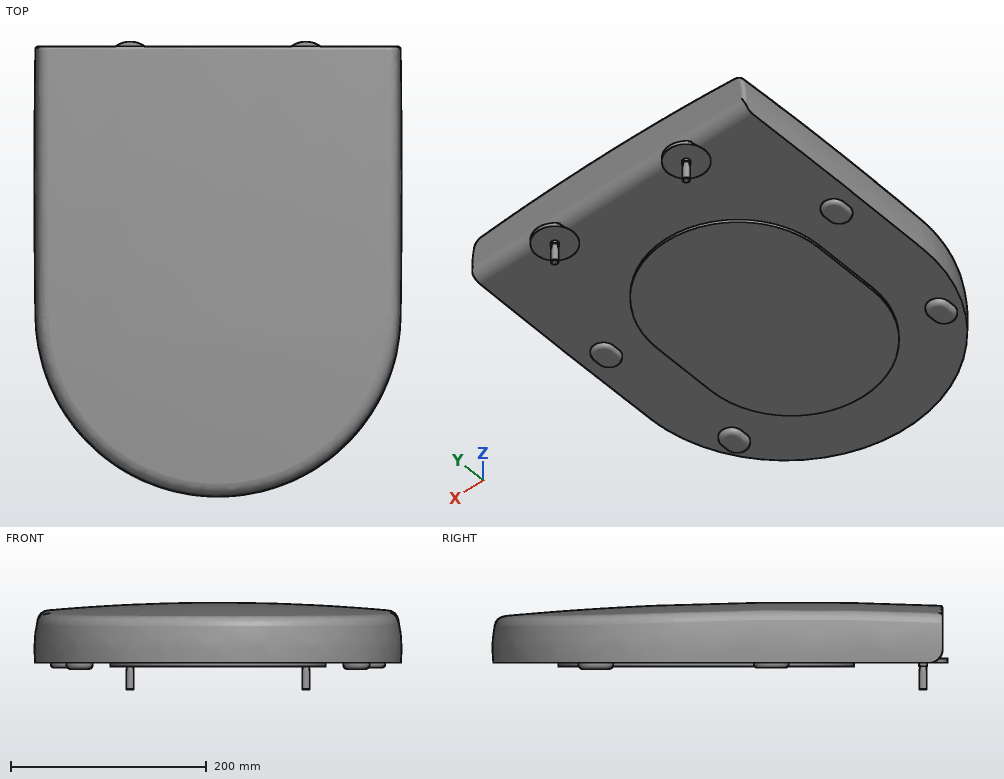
import cadquery as cq
import math


LENGTH = 465.0

HALF_WIDTH = 186.0
SIDE_BULGE = 1.0
FRONT_REACH = 184.0
BACK_Y = 275.5
MIDDLE_Y = 128.5

WALL_RADIUS = 139.5
WIDEST_Z = 14.0
WALL_LEVELS = (0.0, WIDEST_Z, 32.5, 65.0)

TOP_Z = 62.0
CROWN_RADIUS_X = 1929.8
CROWN_RADIUS_Y = 3273.5
CUTTER_HALF_WIDTH = 232.5
CUTTER_HEIGHT = 46.5
CUTTER_ANGLE = 16.0

TOP_EDGE_RADIUS = 12.5
BACK_EDGE_RADIUS = 3.5
BACK_BOTTOM_RADIUS = 14.5

HINGE_X = 89.7
DISC_DIAMETER = 50.0
DISC_HEIGHT = 4.5
BOLT_COLLAR_DIAMETER = 9.0
BOLT_DIAMETER = 8.0
BOLT_NECK_DIAMETER = 6.5
BOLT_LENGTH = 27.5
BOLT_COLLAR_HEIGHT = 3.3
BOLT_NECK_HEIGHT = 4.5
BOLT_TIP_HEIGHT = 1.0

PLATE_WIDTH = 220.5
PLATE_LENGTH = 302.2
PLATE_BACK_Y = 184.5
PLATE_THICKNESS = 3.5

BUMPER_WIDTH = 27.5
BUMPER_LENGTH = 36.0
FRONT_BUMPER = (141.5, -79.0, 6.5)
BACK_BUMPER = (157.0, 100.0, 5.0)
BUMPER_ROUNDING = 0.8


def wall_offset(z):
    """Distance of the wall outside the underside outline, at height z."""
    def inset(height):
        return WALL_RADIUS - math.sqrt(WALL_RADIUS**2 - (height - WIDEST_Z) ** 2)

    return inset(0.0) - inset(z)


HINGE_Y = LENGTH - FRONT_REACH - wall_offset(WIDEST_Z) - DISC_DIAMETER / 2


def lid_outline(z):
    """Wire of the lid outline at height z: bowed sides, a round front and a flat back."""
    offset = wall_offset(z)
    half = HALF_WIDTH + offset
    widest = half + SIDE_BULGE
    return (
        cq.Workplane("XY", origin=(0, 0, z))
        .moveTo(-half, BACK_Y)
        .threePointArc((-widest, MIDDLE_Y), (-half, 0))
        .threePointArc((0, -FRONT_REACH - offset), (half, 0))
        .threePointArc((widest, MIDDLE_Y), (half, BACK_Y))
        .close()
        .val()
    )


def crown_cutter():
    """Everything above the crowned top, as an arc along X turned about an axis below the lid."""
    edge_drop = CROWN_RADIUS_X - math.sqrt(CROWN_RADIUS_X**2 - CUTTER_HALF_WIDTH**2)
    edge_z = TOP_Z - edge_drop
    roof_z = TOP_Z + CUTTER_HEIGHT
    axis_z = TOP_Z - CROWN_RADIUS_Y
    section = (
        cq.Workplane("XZ", origin=(0, MIDDLE_Y, 0))
        .moveTo(-CUTTER_HALF_WIDTH, edge_z)
        .threePointArc((0, TOP_Z), (CUTTER_HALF_WIDTH, edge_z))
        .lineTo(CUTTER_HALF_WIDTH, roof_z)
        .lineTo(-CUTTER_HALF_WIDTH, roof_z)
        .close()
    )
    cutter = section.revolve(CUTTER_ANGLE, (0, axis_z), (1, axis_z))
    axis_start = (0, MIDDLE_Y, axis_z)
    axis_end = (1, MIDDLE_Y, axis_z)
    return cutter.rotate(axis_start, axis_end, -CUTTER_ANGLE / 2)


def back_bottom_cutter():
    """Corner between the back and the underside, outside the arc that rounds it."""
    arc_center_y = BACK_Y - BACK_BOTTOM_RADIUS
    diagonal = BACK_BOTTOM_RADIUS * math.sqrt(0.5)
    arc_middle = (arc_center_y + diagonal, BACK_BOTTOM_RADIUS - diagonal)
    return (
        cq.Workplane("YZ")
        .moveTo(arc_center_y, 0)
        .threePointArc(arc_middle, (BACK_Y, BACK_BOTTOM_RADIUS))
        .lineTo(BACK_Y, 0)
        .close()
        .extrude(CUTTER_HALF_WIDTH, both=True)
    )


def make_lid(discs):
    """Crowned block with rounded edges, recessed to fit over the hinge discs."""
    lid = cq.Workplane(cq.Solid.makeLoft([lid_outline(z) for z in WALL_LEVELS]))
    lid = lid.cut(crown_cutter())
    lid = lid.faces(">Z").edges("not >Y").fillet(TOP_EDGE_RADIUS)
    lid = lid.faces(">Z").edges(">Y").fillet(BACK_EDGE_RADIUS)
    lid = lid.cut(back_bottom_cutter())
    for disc in discs:
        lid = lid.cut(disc)
    return lid


def make_disc(side):
    center = (side * HINGE_X, HINGE_Y, 0)
    return cq.Workplane("XY", origin=center).circle(DISC_DIAMETER / 2).extrude(DISC_HEIGHT)


def make_bolt(side):
    """Bolt hanging from a hinge disc: collar, neck widening downward, shank and bevelled tip."""
    collar_radius = BOLT_COLLAR_DIAMETER / 2
    radius = BOLT_DIAMETER / 2
    neck_radius = BOLT_NECK_DIAMETER / 2
    neck_top = -BOLT_COLLAR_HEIGHT
    neck_bottom = neck_top - BOLT_NECK_HEIGHT
    half_section = [
        (0, 0),
        (collar_radius, 0),
        (collar_radius, neck_top),
        (neck_radius, neck_top),
        (radius, neck_bottom),
        (radius, BOLT_TIP_HEIGHT - BOLT_LENGTH),
        (neck_radius, -BOLT_LENGTH),
        (0, -BOLT_LENGTH),
    ]
    bolt = cq.Workplane("XZ").polyline(half_section).close().revolve(360, (0, 0), (0, 1))
    return bolt.translate((side * HINGE_X, HINGE_Y, 0))


def make_plate():
    middle_y = PLATE_BACK_Y - PLATE_LENGTH / 2
    return (
        cq.Workplane("XY", origin=(0, middle_y, 0))
        .slot2D(PLATE_LENGTH, PLATE_WIDTH, 90)
        .extrude(-PLATE_THICKNESS)
    )


def make_bumper(side, x, y, height):
    return (
        cq.Workplane("XY", origin=(side * x, y, 0))
        .slot2D(BUMPER_LENGTH, BUMPER_WIDTH, 90)
        .extrude(-height)
        .faces("<Z")
        .edges()
        .fillet(BUMPER_ROUNDING * height)
    )


discs = []
bolts = []
bumpers = []
for side in (-1, 1):
    discs.append(make_disc(side))
    bolts.append(make_bolt(side))
    for x, y, height in (FRONT_BUMPER, BACK_BUMPER):
        bumpers.append(make_bumper(side, x, y, height))

lid = make_lid(discs)
plate = make_plate()

bodies = [lid, plate, *discs, *bolts, *bumpers]
result = cq.Compound.makeCompound([body.val() for body in bodies])